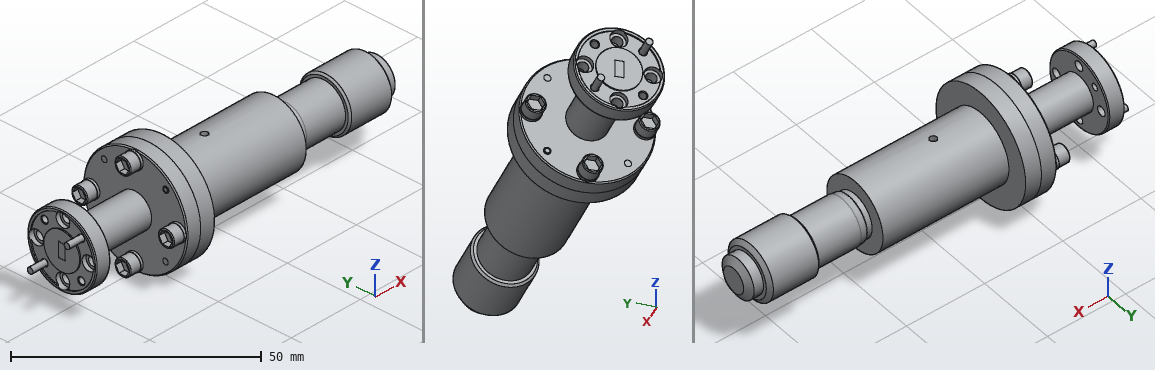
import cadquery as cq
import math


small_flange_dia = 19.05
small_flange_thickness = 4.15
small_flange_chamfer = 0.25
tube_dia = 9.2
face_boss_dia = 9.8
face_recess_dia = 17.4
face_recess_depth = 0.35
port_bolt_circle_dia = 14.29
port_hole_dia = 2.4
port_counterbore_dia = 3.75
port_counterbore_depth = 1.5
port_pin_dia = 1.56
port_pin_length = 3.83
port_pin_hole_dia = 1.65
port_pin_hole_countersink_dia = 2.0
port_pin_relief_dia = 1.85

large_flange_dia = 28.57
waveguide_flange_start = 21.21
flange_joint = 25.21
barrel_start = 29.25
large_flange_chamfer = 0.3

barrel_dia = 17.9
barrel_end = 61.47
vent_x = 41.4
vent_dia = 1.75
vent_drill_dia = 1.0
vent_depth = 1.5
vent_drill_depth = 2.5

dowel_circle_dia = 23.8
dowel_dia = 1.5
dowel_tip_chamfer = 0.22

screw_circle_dia = 23.8
screw_head_dia = 4.4
screw_head_length = 2.95
screw_head_chamfer = 0.22
screw_washer_dia = 4.6
screw_washer_thickness = 0.66
screw_shank_dia = 2.8
screw_shank_length = 7.0
socket_across_flats = 3.2
socket_depth = 1.6

plunger_width = 1.88
plunger_height = 3.76
neck_dia = 11.0
neck_length = 1.45
sleeve_dia = 12.0
sleeve_taper_length = 1.75
sleeve_taper_dia = 11.5
thimble_start = 76.0
thimble_dia = 14.4
thimble_front_chamfer = 0.5
thimble_end = 88.95
thimble_bevel_start = 88.1
thimble_back_dia = 12.0
knob_dia = 10.2
knob_bevel_start = 91.35
knob_end = 92.5
knob_end_dia = 6.4


def cylinder(start, end, dia, y=0, z=0):
    """Solid cylinder along X between two stations."""
    return cq.Workplane("YZ", origin=(start, y, z)).circle(dia / 2).extrude(end - start)


def around_axis(circle_dia, angles):
    """(y, z) places on a circle about the X axis, angles measured from +Y toward +Z."""
    radius = circle_dia / 2
    return [(radius * math.cos(math.radians(a)), radius * math.sin(math.radians(a))) for a in angles]


def countersink(mouth_dia, hole_dia, y, z):
    """45 degree cone that eases the mouth of a hole in the recessed face of the small flange."""
    depth = (mouth_dia - hole_dia) / 2
    mouth = cq.Workplane("YZ", origin=(face_recess_depth, y, z)).circle(mouth_dia / 2)
    return mouth.workplane(offset=depth).circle(hole_dia / 2).loft()


def plunger_bar(start, end):
    bar = cq.Workplane("YZ", origin=(start, 0, 0))
    return bar.rect(plunger_width, plunger_height).extrude(end - start)


def screw_shank(y, z):
    return cylinder(waveguide_flange_start, waveguide_flange_start + screw_shank_length, screw_shank_dia, y, z)


square_angles = (0, 90, 180, 270)
diagonal_angles = (45, 225)
opposite_diagonal_angles = (135, 315)
screw_places = around_axis(screw_circle_dia, square_angles)
plain_dowel_places = around_axis(dowel_circle_dia, diagonal_angles)
chamfered_dowel_places = around_axis(dowel_circle_dia, opposite_diagonal_angles)


def make_waveguide():
    """Small flange with its two pins, the tube, and the front one of the two large flanges."""
    body = cylinder(0, small_flange_thickness, small_flange_dia)
    body = body.faces("<X or >X").chamfer(small_flange_chamfer)

    recess = cylinder(0, face_recess_depth, face_recess_dia).cut(cylinder(0, face_recess_depth, face_boss_dia))
    body = body.cut(recess)

    for y, z in around_axis(port_bolt_circle_dia, square_angles):
        body = body.cut(cylinder(0, small_flange_thickness, port_hole_dia, y, z))
        body = body.cut(cylinder(0, port_counterbore_depth, port_counterbore_dia, y, z))
    for y, z in around_axis(port_bolt_circle_dia, diagonal_angles):
        body = body.cut(cylinder(0, small_flange_thickness, port_pin_hole_dia, y, z))
        body = body.cut(countersink(port_pin_hole_countersink_dia, port_pin_hole_dia, y, z))
    for y, z in around_axis(port_bolt_circle_dia, opposite_diagonal_angles):
        body = body.cut(countersink(port_pin_relief_dia, port_pin_dia, y, z))
        body = body.union(cylinder(-port_pin_length, small_flange_thickness, port_pin_dia, y, z))

    flange = cylinder(waveguide_flange_start, flange_joint, large_flange_dia)
    flange = flange.faces("<X").chamfer(large_flange_chamfer)
    body = body.union(cylinder(small_flange_thickness, waveguide_flange_start, tube_dia)).union(flange)

    for y, z in screw_places:
        body = body.cut(screw_shank(y, z))
    for y, z in plain_dowel_places + chamfered_dowel_places:
        body = body.cut(cylinder(waveguide_flange_start, flange_joint, dowel_dia, y, z))
    return body.cut(plunger_bar(0, flange_joint))


def make_housing():
    """Rear large flange with its barrel, and four dowels that end flush with the front large flange."""
    body = cylinder(flange_joint, barrel_start, large_flange_dia)
    body = body.union(cylinder(barrel_start, barrel_end, barrel_dia))
    for y, z in plain_dowel_places:
        body = body.union(cylinder(waveguide_flange_start, barrel_start, dowel_dia, y, z))
    for y, z in chamfered_dowel_places:
        dowel = cylinder(waveguide_flange_start, barrel_start, dowel_dia, y, z)
        body = body.union(dowel.faces("<X").chamfer(dowel_tip_chamfer))
    for y, z in screw_places:
        body = body.cut(screw_shank(y, z))
    for dia, depth in ((vent_dia, vent_depth), (vent_drill_dia, vent_drill_depth)):
        vent = cq.Workplane("XY", origin=(vent_x, 0, barrel_dia / 2 - depth)).circle(dia / 2).extrude(2 * depth)
        body = body.cut(vent)
    return body.cut(plunger_bar(flange_joint, barrel_end))


def make_screw(y, z):
    """Socket head cap screw with a washer under its head."""
    washer_front = waveguide_flange_start - screw_washer_thickness
    head_front = washer_front - screw_head_length
    screw = cylinder(head_front, washer_front, screw_head_dia, y, z).faces("<X").chamfer(screw_head_chamfer)
    screw = screw.union(cylinder(washer_front, waveguide_flange_start, screw_washer_dia, y, z))
    screw = screw.union(screw_shank(y, z))
    across_corners = socket_across_flats / math.cos(math.pi / 6)
    socket = cq.Workplane("YZ", origin=(head_front, y, z)).polygon(6, across_corners).extrude(socket_depth)
    return screw.cut(socket)


def make_micrometer():
    """Turned micrometer head with its plunger reaching the front face of the waveguide."""
    sleeve_start = barrel_end + neck_length
    outline = [
        (barrel_end, 0),
        (barrel_end, neck_dia / 2),
        (sleeve_start, neck_dia / 2),
        (sleeve_start, sleeve_taper_dia / 2),
        (sleeve_start + sleeve_taper_length, sleeve_dia / 2),
        (thimble_start, sleeve_dia / 2),
        (thimble_start, thimble_dia / 2 - thimble_front_chamfer),
        (thimble_start + thimble_front_chamfer, thimble_dia / 2),
        (thimble_bevel_start, thimble_dia / 2),
        (thimble_end, thimble_back_dia / 2),
        (thimble_end, knob_dia / 2),
        (knob_bevel_start, knob_dia / 2),
        (knob_end, knob_end_dia / 2),
        (knob_end, 0),
    ]
    head = cq.Workplane("XY").polyline(outline).close().revolve(360, (0, 0, 0), (1, 0, 0))
    return head.union(plunger_bar(0, barrel_end))


waveguide = make_waveguide()
housing = make_housing()
micrometer = make_micrometer()
screws = [make_screw(y, z) for y, z in screw_places]

result = cq.Compound.makeCompound(
    [body.solids().val() for body in [waveguide, housing, micrometer, *screws]]
)